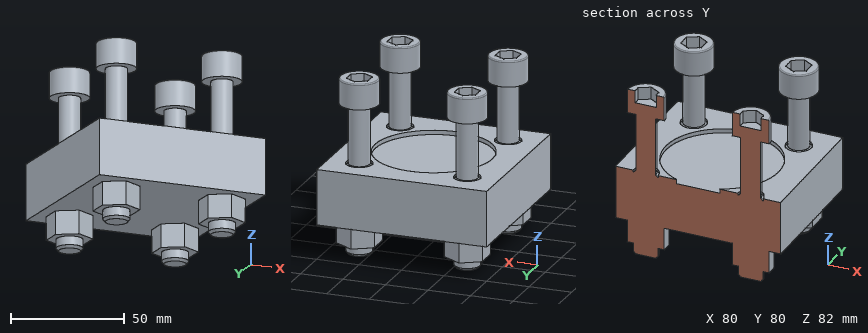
import cadquery as cq
import math

plate_side = 80.0
plate_thickness = 26.0
recess_diameter = 55.0
recess_depth = 2.0

screw_pitch = 50.8
screw_length = 70.0
thread_diameter = 12.0
shank_diameter = 9.85
thread_chamfer = (thread_diameter - shank_diameter) / 2
tip_chamfer_height = 1.25
head_diameter = 18.0
head_height = 12.0
head_fillet = 0.5
socket_across_flats = 10.0
socket_depth = 6.0

nut_across_flats = 18.0
nut_height = 10.8

head_seat = screw_length
head_top = head_seat + head_height
plate_top = 42.0
plate_bottom = plate_top - plate_thickness
nut_bottom = plate_bottom - nut_height

hexagon_sides = 6
quarter_turn = 90.0


def hexagon(across_flats, bottom, height):
    """Vertical hexagonal prism with two corners on the Y axis."""
    across_corners = across_flats / math.cos(math.pi / hexagon_sides)
    prism = cq.Workplane("XY").polygon(hexagon_sides, across_corners).extrude(height)
    return prism.rotate((0, 0, 0), (0, 0, 1), quarter_turn).translate((0, 0, bottom))


def cylinder(diameter, bottom, top):
    """Vertical cylinder on the Z axis between two levels."""
    return cq.Workplane("XY").workplane(offset=bottom).circle(diameter / 2).extrude(top - bottom)


def make_plate():
    """Square plate with a shallow round recess in its top face."""
    plate = cq.Workplane("XY").workplane(offset=plate_bottom).rect(plate_side, plate_side)
    plate = plate.extrude(plate_thickness)
    return plate.cut(cylinder(recess_diameter, plate_top - recess_depth, plate_top))


def make_thread_gap():
    """Ring-shaped gap between the plate hole and the chamfered upper end of the thread."""
    gap_bottom = plate_top - thread_chamfer
    hole = cylinder(thread_diameter, gap_bottom, plate_top)
    cone = cq.Solid.makeCone(
        thread_diameter / 2,
        shank_diameter / 2,
        thread_chamfer,
        pnt=cq.Vector(0, 0, gap_bottom),
    )
    return hole.cut(cq.Workplane(cone))


def make_screw_with_nut():
    """Screw on the Z axis with its nut; the thread inside the plate is solid with the plate."""
    head = cylinder(head_diameter, head_seat, head_top).faces(">Z").edges().fillet(head_fillet)
    head = head.cut(hexagon(socket_across_flats, head_top - socket_depth, socket_depth))
    shank = cylinder(shank_diameter, plate_top, head_seat)
    thread = cylinder(thread_diameter, 0, plate_bottom)
    thread = thread.faces("<Z").chamfer(tip_chamfer_height, thread_chamfer)
    nut = hexagon(nut_across_flats, nut_bottom, nut_height)
    return head.union(shank).union(thread).union(nut)


result = make_plate()
thread_gap = make_thread_gap()
screw_with_nut = make_screw_with_nut()
half_pitch = screw_pitch / 2
for x in (-half_pitch, half_pitch):
    for y in (-half_pitch, half_pitch):
        position = (x, y, 0)
        result = result.cut(thread_gap.translate(position))
        result = result.union(screw_with_nut.translate(position))